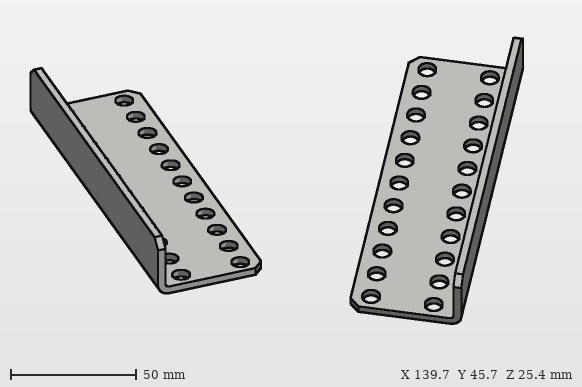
import cadquery as cq

length = 139.7
depth = 45.7
height = 25.4

thickness = 3.2
inner_bend_radius = 1.5
outer_bend_radius = inner_bend_radius + thickness

corner_chamfer = 3.9

holes_per_row = 11
row_count = 2
hole_pitch = length / holes_per_row
row_spacing = 2 * hole_pitch
hole_diameter = 7.1
back_row_to_edge = 8.0


def bent_sheet():
    """Flat base with an upright wall along its front edge, centred on X."""
    profile = (
        cq.Workplane("YZ")
        .polyline([
            (0, 0),
            (depth, 0),
            (depth, thickness),
            (thickness, thickness),
            (thickness, height),
            (0, height),
        ])
        .close()
    )
    sheet = profile.extrude(length / 2, both=True)
    sheet = sheet.edges("|X and <Y and <Z").fillet(outer_bend_radius)
    inner_corner = cq.selectors.NearestToPointSelector((0, thickness, thickness))
    return sheet.edges(inner_corner).fillet(inner_bend_radius)


def clip_corners(sheet):
    """Chamfer the two back corners of the base and the two top corners of the wall."""
    sheet = sheet.faces(">Y").edges("|Z").chamfer(corner_chamfer)
    return sheet.faces(">Z").edges("|Y").chamfer(corner_chamfer)


def drill_base(sheet):
    """Cut the rows of through holes in the base."""
    grid_center_y = depth - back_row_to_edge - (row_count - 1) * row_spacing / 2
    holes = (
        cq.Workplane("XY")
        .center(0, grid_center_y)
        .rarray(hole_pitch, row_spacing, holes_per_row, row_count)
        .circle(hole_diameter / 2)
        .extrude(thickness)
    )
    return sheet.cut(holes)


result = drill_base(clip_corners(bent_sheet()))